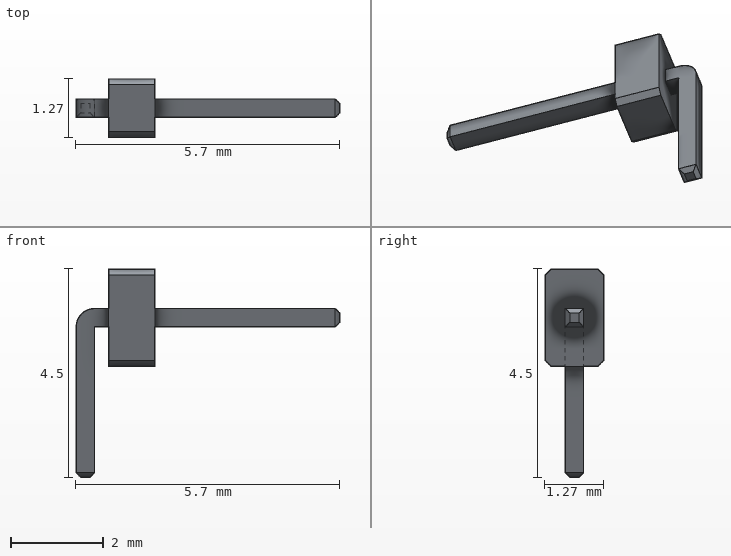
import cadquery as cq

total_length = 5.7
total_height = 4.5

housing_length = 1.0
housing_width = 1.27
housing_height = 2.1
housing_chamfer = 0.127

pin_size = 0.4
bend_radius = pin_size
tip_chamfer = 0.1
bend_to_housing = 0.7

pin_left = -housing_length / 2 - bend_to_housing
pin_right = pin_left + total_length
pin_top = pin_size / 2
pin_bottom = housing_height / 2 - total_height


def make_housing():
    """Block with its four edges along X chamfered."""
    block = cq.Workplane("XY").box(housing_length, housing_width, housing_height)
    return block.edges("|X").chamfer(housing_chamfer)


def make_pin():
    """L-shaped pin with both ends tapered on all four sides."""
    bar = (
        cq.Workplane("XZ")
        .moveTo(pin_left, pin_bottom)
        .lineTo(pin_left, pin_top - bend_radius)
        .radiusArc((pin_left + bend_radius, pin_top), bend_radius)
        .lineTo(pin_right, pin_top)
        .lineTo(pin_right, pin_top - pin_size)
        .lineTo(pin_left + pin_size, pin_top - pin_size)
        .lineTo(pin_left + pin_size, pin_bottom)
        .close()
        .extrude(pin_size / 2, both=True)
    )
    tapered = bar.faces(">X").chamfer(tip_chamfer)
    return tapered.faces("<Z").chamfer(tip_chamfer)


result = make_housing().union(make_pin())